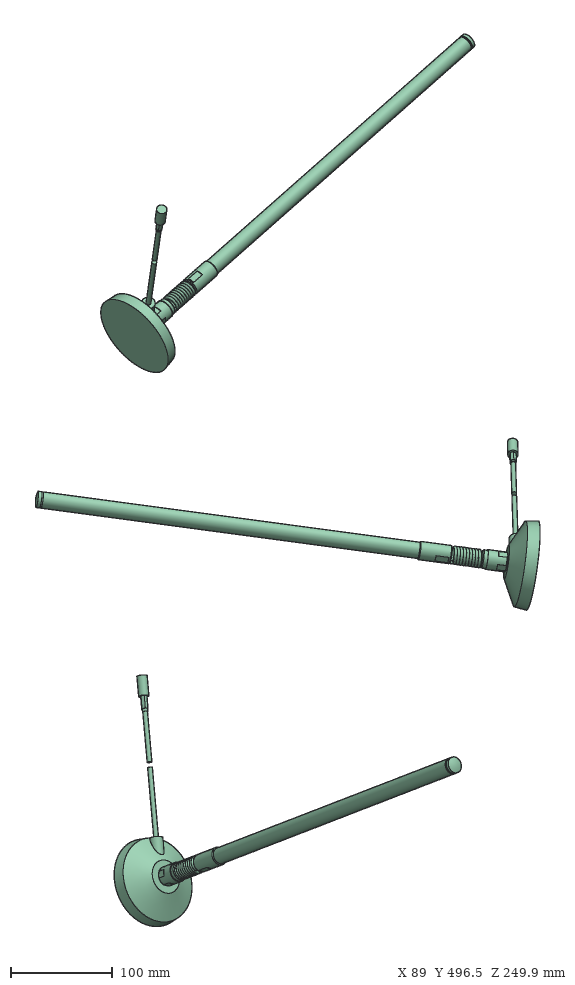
import cadquery as cq
import math

TOTAL_LENGTH = 496.5

BASE_DIAMETER = 89.0
RIM_TOP_RADIUS = 42.5
RIM_HEIGHT = 12.5
CONE_TOP_RADIUS = 17.0
BASE_HEIGHT = 26.0
BOSS_DIAMETER = 13.5
BOSS_START = 15.0
BOSS_END = 41.5

FOOT_DIAMETER = 20.0
COLLAR_DIAMETER = 18.5
SEAT_START = 45.5
SPRING_START = 50.5
SPRING_END = 81.5
COLLAR_END = 113.5
COLLAR_BEVEL = 1.0
WIRE_DIAMETER = 3.0
COIL_DIAMETER = COLLAR_DIAMETER - WIRE_DIAMETER
COIL_PITCH = 3.05
FLAT_WIDTH = 7.0
LOWER_FLAT_LENGTH = 9.5
UPPER_FLAT_START = 84.0
UPPER_FLAT_LENGTH = 13.0

MAST_DIAMETER = 16.5
GROOVE_DIAMETER = 16.0
GROOVE_WIDTH = 1.5
CAP_RIM_LENGTH = 3.5
CAP_DOME_RISE = 1.5
CAP_RIM_END = TOTAL_LENGTH - CAP_DOME_RISE
CAP_START = CAP_RIM_END - CAP_RIM_LENGTH - GROOVE_WIDTH

CABLE_HEIGHT = 16.0
CABLE_LEAN = 6.1
CABLE_DIAMETER = 5.0
BREAK_START = 113.0
BREAK_END = 118.5
FERRULE_START = 169.5
FERRULE_DIAMETER = 5.5
HEX_START = 172.5
HEX_SIDES = 6
HEX_DIAMETER = 7.0
PLUG_START = 185.5
PLUG_END = 206.0
PLUG_DIAMETER = 10.5


def mast_cylinder(diameter, start, end):
    """Cylinder on the mast axis between two heights."""
    plane = cq.Plane(origin=(0, start, 0), xDir=(1, 0, 0), normal=(0, 1, 0))
    return cq.Workplane(plane).circle(diameter / 2).extrude(end - start)


def cable_place(body):
    """Move a body built along Z onto the leaning cable axis."""
    return body.translate((0, CABLE_HEIGHT, 0)).rotate((0, 0, 0), (0, 1, 0), CABLE_LEAN)


def rod(diameter, start, end):
    """Cylinder along Z between two distances from the mast axis."""
    return cq.Workplane("XY").workplane(offset=start).circle(diameter / 2).extrude(end - start)


def cut_flats(collar, diameter, start, length, angles):
    """Cut wrench flats into a collar, one at each angle about the mast axis."""
    depth = diameter / 2
    flat_offset = math.sqrt(diameter**2 - FLAT_WIDTH**2) / 2
    cutter = cq.Workplane("XY").box(FLAT_WIDTH, length, depth)
    cutter = cutter.translate((0, start + length / 2, flat_offset + depth / 2))
    for angle in angles:
        collar = collar.cut(cutter.rotate((0, 0, 0), (0, 1, 0), angle))
    return collar


def make_base():
    """Disc with a conical top, and a round boss where the cable leaves it."""
    disc = (
        cq.Workplane("XY")
        .lineTo(BASE_DIAMETER / 2, 0)
        .lineTo(RIM_TOP_RADIUS, RIM_HEIGHT)
        .lineTo(CONE_TOP_RADIUS, BASE_HEIGHT)
        .lineTo(0, BASE_HEIGHT)
        .close()
        .revolve(360, (0, 0, 0), (0, 1, 0))
    )
    return disc.union(cable_place(rod(BOSS_DIAMETER, BOSS_START, BOSS_END)))


def make_lower_collar():
    """Collar on the base, stepped to a bevelled spring seat, with four flats at its foot."""
    seat = mast_cylinder(COLLAR_DIAMETER, SEAT_START, SPRING_START)
    seat = seat.faces(">Y").chamfer(COLLAR_BEVEL)
    foot = mast_cylinder(FOOT_DIAMETER, BASE_HEIGHT, SEAT_START)
    collar = foot.faces("<Y").chamfer(COLLAR_BEVEL).union(seat)
    return cut_flats(collar, FOOT_DIAMETER, BASE_HEIGHT, LOWER_FLAT_LENGTH, (0, 90, 180, 270))


def make_spring():
    """Round-wire coil spring held between the two collars."""
    rise = SPRING_END - SPRING_START - WIRE_DIAMETER
    coil_radius = COIL_DIAMETER / 2
    path = cq.Wire.makeHelix(COIL_PITCH, rise, coil_radius)
    wire = cq.Workplane("XZ", origin=(coil_radius, 0, 0)).circle(WIRE_DIAMETER / 2)
    coil = wire.sweep(cq.Workplane(path), isFrenet=True)
    coil = coil.rotate((0, 0, 0), (1, 0, 0), -90)
    return coil.translate((0, SPRING_START + WIRE_DIAMETER / 2, 0))


def make_upper_collar():
    """Collar between spring and mast, bevelled at both ends, with two opposite flats."""
    collar = mast_cylinder(COLLAR_DIAMETER, SPRING_END, COLLAR_END)
    collar = collar.faces("<Y or >Y").chamfer(COLLAR_BEVEL)
    return cut_flats(collar, COLLAR_DIAMETER, UPPER_FLAT_START, UPPER_FLAT_LENGTH, (0, 180))


def make_mast():
    """Long plain rod from the upper collar to the cap."""
    return mast_cylinder(MAST_DIAMETER, COLLAR_END, CAP_START)


def make_cap():
    """Mast cap with a narrow neck, a full-width rim and a shallow domed end."""
    rim_radius = MAST_DIAMETER / 2
    neck_radius = GROOVE_DIAMETER / 2
    rim_start = CAP_START + GROOVE_WIDTH
    dome_radius = (rim_radius**2 + CAP_DOME_RISE**2) / (2 * CAP_DOME_RISE)
    mid_radius = rim_radius / 2
    mid_height = TOTAL_LENGTH - dome_radius + math.sqrt(dome_radius**2 - mid_radius**2)
    return (
        cq.Workplane("XY")
        .moveTo(0, CAP_START)
        .lineTo(neck_radius, CAP_START)
        .lineTo(neck_radius, rim_start)
        .lineTo(rim_radius, rim_start)
        .lineTo(rim_radius, CAP_RIM_END)
        .threePointArc((mid_radius, mid_height), (0, TOTAL_LENGTH))
        .close()
        .revolve(360, (0, 0, 0), (0, 1, 0))
    )


def make_lower_cable():
    """Cable from the boss to the break."""
    return cable_place(rod(CABLE_DIAMETER, BOSS_END, BREAK_START))


def make_upper_cable():
    """Cable end beyond the break, with its hexagonal crimp and round plug."""
    crimp = (
        cq.Workplane("XY")
        .workplane(offset=HEX_START)
        .polygon(HEX_SIDES, HEX_DIAMETER)
        .extrude(PLUG_START - HEX_START)
    )
    cable = (
        rod(CABLE_DIAMETER, BREAK_END, FERRULE_START)
        .union(rod(FERRULE_DIAMETER, FERRULE_START, HEX_START))
        .union(crimp)
        .union(rod(PLUG_DIAMETER, PLUG_START, PLUG_END))
    )
    return cable_place(cable)


base = make_base()
lower_collar = make_lower_collar()
spring = make_spring()
upper_collar = make_upper_collar()
mast = make_mast()
cap = make_cap()
lower_cable = make_lower_cable()
upper_cable = make_upper_cable()

result = cq.Compound.makeCompound([
    base.val(),
    lower_collar.val(),
    spring.val(),
    upper_collar.val(),
    mast.val(),
    cap.val(),
    lower_cable.val(),
    upper_cable.val(),
])